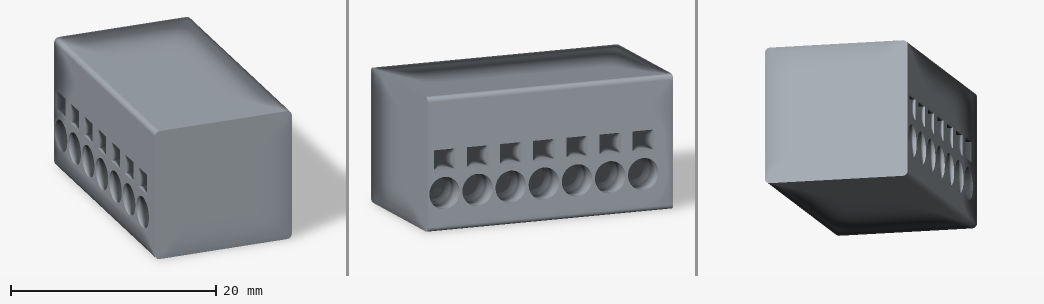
import cadquery as cq

length = 25.9
depth = 14.4
height = 13.5
edge_radius = 0.5

pole_count = 7
pitch = 3.5
first_pole_x = 1.75

entry_diameter = 3.2
entry_inner_diameter = 2.49
entry_z = 3.8
entry_bore_depth = 2.05
entry_taper_length = 0.9

slot_width = 2.25
slot_height = 2.05
slot_z = 7.15
slot_depth = 5.0


def housing():
    """Block with its four long edges rounded."""
    block = cq.Workplane("XY").box(length, depth, height, centered=False)
    return block.edges("|X").fillet(edge_radius)


def wire_entry(x):
    """Blind round hole from the front face towards +Y, with a tapered, flat-ended bottom."""
    full_depth = entry_bore_depth + entry_taper_length
    half_profile = (
        cq.Workplane("XY")
        .lineTo(entry_diameter / 2, 0)
        .lineTo(entry_diameter / 2, entry_bore_depth)
        .lineTo(entry_inner_diameter / 2, full_depth)
        .lineTo(0, full_depth)
        .close()
    )
    hole = half_profile.revolve(360, (0, 0, 0), (0, 1, 0))
    return hole.translate((x, 0, entry_z))


def release_slot(x):
    """Blind rectangular pocket running from the front face towards +Y."""
    pocket = cq.Workplane("XY").box(slot_width, slot_depth, slot_height, centered=(True, False, True))
    return pocket.translate((x, 0, slot_z))


result = housing()
for pole in range(pole_count):
    pole_x = first_pole_x + pole * pitch
    result = result.cut(wire_entry(pole_x))
    result = result.cut(release_slot(pole_x))